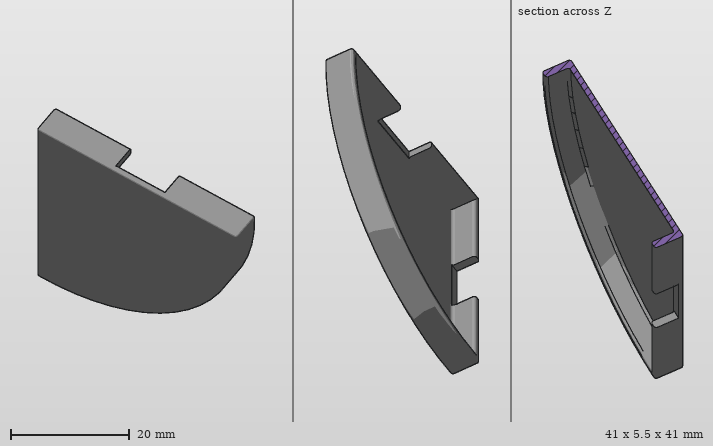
import cadquery as cq
import math

cavity_radius = 38.0
wall_thickness = 1.5
floor_thickness = 1.0
depth = 5.5
edge_fillet = 0.5

arc_center_x = wall_thickness
arc_center_z = -wall_thickness

notch_width = 10.0
notch_overrun = 0.25
notch_center = wall_thickness + cavity_radius / 2


def quarter_disc(wall, front, length):
    """Quarter disc with a wall of the given width around the cavity outline.

    It starts at Y = front and runs towards +Y; its square corner points to -X, +Z.
    """
    arc_radius = cavity_radius + wall
    left = arc_center_x - wall
    top = arc_center_z + wall
    reach = math.sqrt(arc_radius**2 - wall**2)
    arc_middle = arc_radius * math.sqrt(0.5)
    return (
        cq.Workplane("XZ", origin=(0, front, 0))
        .moveTo(left, top)
        .lineTo(arc_center_x + reach, top)
        .threePointArc(
            (arc_center_x + arc_middle, arc_center_z - arc_middle),
            (left, arc_center_z - reach),
        )
        .close()
        .extrude(-length)
    )


def tray():
    """Quarter-disc tray open at the back, with its outer, rim and floor edges rounded."""
    body = quarter_disc(wall_thickness, 0, depth).edges().fillet(edge_fillet)
    cavity = quarter_disc(0, floor_thickness, depth - floor_thickness)
    rounded_cavity = cavity.faces("<Y").edges().fillet(edge_fillet)
    hollow = body.cut(rounded_cavity)
    rim = hollow.faces(">Y").val().innerWires()[0]
    return hollow.newObject(rim.Edges()).fillet(edge_fillet)


def low_corner_box(corner, size):
    """Box with its lowest X, Y and Z corner at the given point."""
    return cq.Workplane("XY").box(*size, centered=False).translate(corner)


def wall_notches():
    """Cutters through the top wall and the left wall, down to the tray floor."""
    cut_length = wall_thickness + notch_overrun
    cut_depth = depth - floor_thickness
    notch_start = notch_center - notch_width / 2
    notch_end = notch_center + notch_width / 2
    top_notch = low_corner_box(
        (notch_start, floor_thickness, -cut_length),
        (notch_width, cut_depth, cut_length),
    )
    left_notch = low_corner_box(
        (0, floor_thickness, -notch_end),
        (cut_length, cut_depth, notch_width),
    )
    return top_notch.union(left_notch)


result = tray().cut(wall_notches())